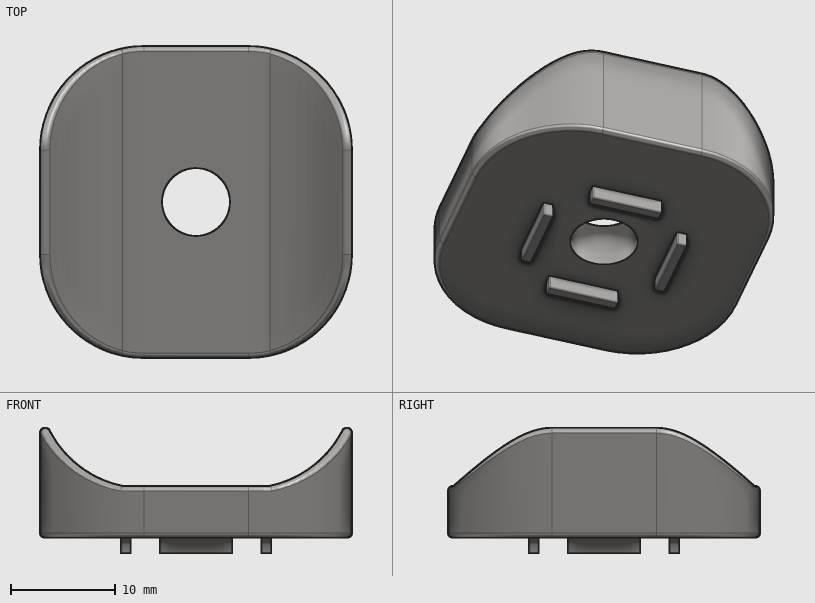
import math

import cadquery as cq

SIDE = 30.0
CORNER_RADIUS = 10.0
FLOOR_HEIGHT = 5.0
FLOOR_HALF_WIDTH = 7.08
FLANK_RADIUS = 10.18
EDGE_RADIUS = 0.5
HOLE_DIAMETER = 6.5
TAB_LENGTH = 7.0
TAB_THICKNESS = 1.0
TAB_DEPTH = 1.5
TAB_EDGE_RADIUS = 0.1
TAB_OFFSET = 6.75
TAB_COUNT = 4

FLANK_AXIS_X = SIDE / 2 - CORNER_RADIUS
FLANK_AXIS_Z = FLOOR_HEIGHT + math.sqrt(
    FLANK_RADIUS**2 - (FLOOR_HALF_WIDTH - FLANK_AXIS_X) ** 2
)

CORE_HALF_SIDE = SIDE / 2 - EDGE_RADIUS
CORE_CORNER_RADIUS = CORNER_RADIUS - EDGE_RADIUS
CORE_BOTTOM = EDGE_RADIUS
CORE_FLOOR = FLOOR_HEIGHT - EDGE_RADIUS
CORE_FLANK_RADIUS = FLANK_RADIUS + EDGE_RADIUS
CORE_FLOOR_HALF_WIDTH = FLANK_AXIS_X + math.sqrt(
    CORE_FLANK_RADIUS**2 - (FLANK_AXIS_Z - CORE_FLOOR) ** 2
)


def core_flank_height(x):
    """Height of the core's concave flank at distance x from the middle plane."""
    return FLANK_AXIS_Z - math.sqrt(CORE_FLANK_RADIUS**2 - (x - FLANK_AXIS_X) ** 2)


def make_core():
    """Sharp-edged saddle block, smaller than the body by the edge radius all round."""
    wall_top = core_flank_height(CORE_HALF_SIDE)
    arc_middle_x = (CORE_FLOOR_HALF_WIDTH + CORE_HALF_SIDE) / 2
    arc_middle_z = core_flank_height(arc_middle_x)
    saddle = (
        cq.Workplane("XZ")
        .moveTo(-CORE_HALF_SIDE, CORE_BOTTOM)
        .lineTo(CORE_HALF_SIDE, CORE_BOTTOM)
        .lineTo(CORE_HALF_SIDE, wall_top)
        .threePointArc((arc_middle_x, arc_middle_z), (CORE_FLOOR_HALF_WIDTH, CORE_FLOOR))
        .lineTo(-CORE_FLOOR_HALF_WIDTH, CORE_FLOOR)
        .threePointArc((-arc_middle_x, arc_middle_z), (-CORE_HALF_SIDE, wall_top))
        .close()
        .extrude(CORE_HALF_SIDE, both=True)
    )
    footprint = (
        cq.Workplane("XY")
        .rect(2 * CORE_HALF_SIDE, 2 * CORE_HALF_SIDE)
        .extrude(SIDE)
        .edges("|Z")
        .fillet(CORE_CORNER_RADIUS)
    )
    return saddle.intersect(footprint)


def make_body():
    """Core grown outward by the edge radius, which rounds every outer edge."""
    core = make_core()
    skin = core.shell(EDGE_RADIUS, kind="arc")
    return core.union(skin)


def make_tab(index):
    """One of the tabs under the body, set out around the hole axis."""
    tab = cq.Workplane("XY").box(
        TAB_THICKNESS, TAB_LENGTH, TAB_DEPTH, centered=(True, True, False)
    )
    tab = tab.edges("|Z or <Z").fillet(TAB_EDGE_RADIUS)
    tab = tab.translate((TAB_OFFSET, 0, -TAB_DEPTH))
    return tab.rotate((0, 0, 0), (0, 0, 1), index * 360 / TAB_COUNT)


def make_hole():
    """Cylinder that cuts the central through hole."""
    return cq.Workplane("XY").circle(HOLE_DIAMETER / 2).extrude(FLOOR_HEIGHT)


result = make_body().cut(make_hole())
for tab_index in range(TAB_COUNT):
    result = result.union(make_tab(tab_index))